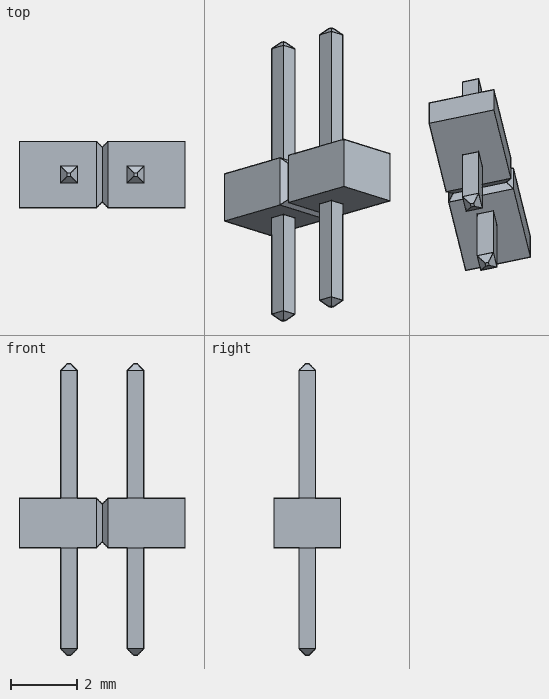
import cadquery as cq

HOUSING_LENGTH = 5.0
HOUSING_WIDTH = 2.01
HOUSING_HEIGHT = 1.5
GROOVE_DEPTH = 0.18

PIN_COUNT = 2
PIN_PITCH = 2.01
PIN_SIZE = 0.5
PIN_LENGTH = 8.81
PIN_BELOW_HOUSING = 3.25
TIP_HEIGHT = 0.2
TIP_FLAT = 0.11

PIN_XS = [(i - (PIN_COUNT - 1) / 2) * PIN_PITCH for i in range(PIN_COUNT)]


def make_housing_half():
    """Half of the housing at -X, its inner end bevelled on all four sides down to the groove root."""
    block_length = HOUSING_LENGTH / 2
    return (
        cq.Workplane("XY")
        .box(block_length, HOUSING_WIDTH, HOUSING_HEIGHT, centered=(False, True, False))
        .translate((-block_length, 0, 0))
        .faces(">X")
        .edges()
        .chamfer(GROOVE_DEPTH)
    )


def make_housing():
    """Both halves joined at the groove root, with a square through hole for each pin."""
    half = make_housing_half()
    pin_holes = (
        cq.Workplane("XY")
        .pushPoints([(x, 0) for x in PIN_XS])
        .rect(PIN_SIZE, PIN_SIZE)
        .extrude(HOUSING_HEIGHT)
    )
    return half.union(half.mirror("YZ")).cut(pin_holes)


def make_tip():
    """Blunt pyramid standing on the XY plane."""
    return (
        cq.Workplane("XY")
        .rect(PIN_SIZE, PIN_SIZE)
        .workplane(offset=TIP_HEIGHT)
        .rect(TIP_FLAT, TIP_FLAT)
        .loft(ruled=True)
    )


def make_pin(x):
    """Square pin at the given X, pointed at both ends."""
    shank_length = PIN_LENGTH - 2 * TIP_HEIGHT
    shank = cq.Workplane("XY").rect(PIN_SIZE, PIN_SIZE).extrude(shank_length)
    upper_tip = make_tip().translate((0, 0, shank_length))
    lower_tip = make_tip().mirror("XY")
    pin = shank.union(upper_tip).union(lower_tip)
    return pin.translate((x, 0, TIP_HEIGHT - PIN_BELOW_HOUSING))


housing = make_housing()
pins = [make_pin(x) for x in PIN_XS]

result = cq.Compound.makeCompound([housing.val(), *[pin.val() for pin in pins]])